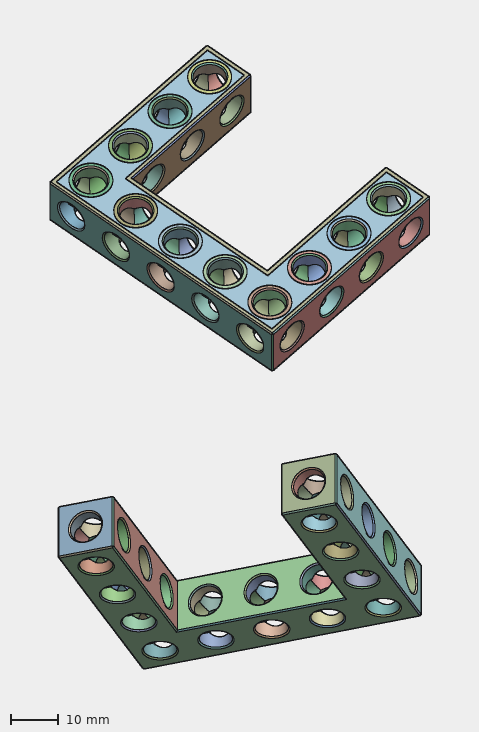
import cadquery as cq

pitch = 12.5
columns = 5
rows = 4
length = columns * pitch
depth = rows * pitch
height = pitch

edge_chamfer = 0.3
rim_width = 1.1
recess_depth = 0.2
hole_diameter = 7.0
hole_chamfer = 0.3
ring_diameter = 9.2

column_centers = [pitch * (i + 0.5) - length / 2 for i in range(columns)]
row_centers = [pitch * (i + 0.5) - depth / 2 for i in range(rows)]
arm_columns = (column_centers[0], column_centers[-1])
base_row = row_centers[0]
base_points = [(x, base_row) for x in column_centers]
arm_points = [(x, y) for x in arm_columns for y in row_centers[1:]]


def u_prism(inset, bottom, top):
    """U-shaped prism, open towards +Y, with every wall moved inwards by inset."""
    left = -length / 2 + inset
    front = -depth / 2 + inset
    back = depth / 2 - inset
    gap_left = -length / 2 + pitch - inset
    gap_front = -depth / 2 + pitch - inset
    outline = [
        (left, front),
        (-left, front),
        (-left, back),
        (-gap_left, back),
        (-gap_left, gap_front),
        (gap_left, gap_front),
        (gap_left, back),
        (left, back),
    ]
    return cq.Workplane("XY", origin=(0, 0, bottom)).polyline(outline).close().extrude(top - bottom)


def chamfered_frame():
    """U-shaped body with all convex edges chamfered; the two inner corner edges stay sharp."""
    body = u_prism(0, -height / 2, height / 2)
    inner_corners = cq.selectors.BoxSelector(
        (-length / 2 + pitch / 2, base_row, -height / 4),
        (length / 2 - pitch / 2, base_row + pitch, height / 4),
    )
    return body.edges(cq.selectors.InverseSelector(inner_corners)).chamfer(edge_chamfer)


def top_recess():
    """Shallow U-shaped recess that leaves a rim along the edges and a ring round each hole."""
    top = height / 2
    bottom = top - recess_depth
    rings = (
        cq.Workplane("XY", origin=(0, 0, bottom))
        .pushPoints(base_points + arm_points)
        .circle(ring_diameter / 2)
        .extrude(recess_depth)
    )
    return u_prism(rim_width, bottom, top).cut(rings)


def through_hole(start, direction, span):
    """Round cutter from start along direction, flared at both ends of its span."""
    radius = hole_diameter / 2
    flare = radius + hole_chamfer
    half_section = [
        (0, 0),
        (flare, 0),
        (radius, hole_chamfer),
        (radius, span - hole_chamfer),
        (flare, span),
        (0, span),
    ]
    cutter = cq.Workplane("XZ").polyline(half_section).close().revolve(360, (0, 0), (0, 1))
    return cutter.val().moved(cq.Location(cq.Plane(origin=start, normal=direction)))


result = chamfered_frame()

result = result.cut(top_recess())

for x, y in base_points + arm_points:
    result = result.cut(through_hole((x, y, -height / 2), (0, 0, 1), height))

for x in column_centers:
    span = depth if x in arm_columns else pitch
    result = result.cut(through_hole((x, -depth / 2, 0), (0, 1, 0), span))

result = result.cut(through_hole((-length / 2, base_row, 0), (1, 0, 0), length))
for x, y in arm_points:
    result = result.cut(through_hole((x - pitch / 2, y, 0), (1, 0, 0), pitch))